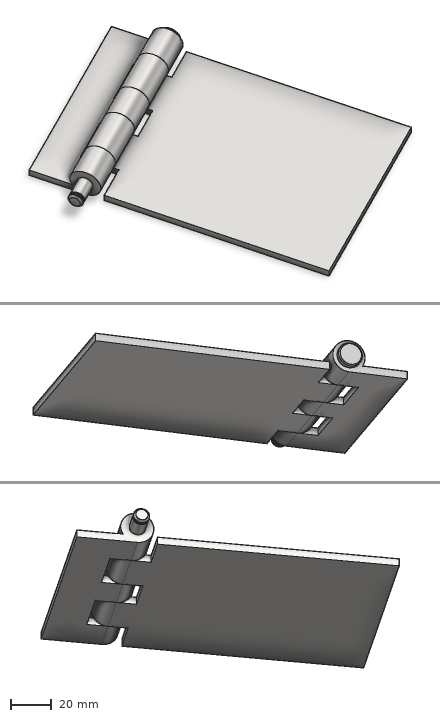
import cadquery as cq

hinge_length = 160.0
hinge_width = 100.0
leaf_thickness = 4.0

barrel_diameter = 16.5
barrel_radius = barrel_diameter / 2
axis_z = barrel_radius
wide_leaf_knuckle_length = 23.4
narrow_leaf_knuckle_length = (hinge_width - 2 * wide_leaf_knuckle_length) / 3
knuckle_pitch = narrow_leaf_knuckle_length + wide_leaf_knuckle_length
narrow_leaf_edge_x = 19.5
wide_leaf_edge_x = 40.0
barrel_clearance = 1.8
axis_x = wide_leaf_edge_x - barrel_clearance - barrel_radius

pin_diameter = 8.0
pin_radius = pin_diameter / 2
head_diameter = 12.2
head_height = 3.0
head_chamfer = 0.6
tip_length = 13.0
tip_chamfer = 1.04
groove_start = 10.0
groove_width = 1.1
groove_depth = 0.5

narrow_knuckle_starts = [i * knuckle_pitch for i in range(3)]
wide_knuckle_starts = [narrow_leaf_knuckle_length + i * knuckle_pitch for i in range(2)]


def cylinder_along_y(radius, y_start, length):
    """Cylinder on the pin axis, extending toward +Y."""
    return cq.Workplane("XY").add(
        cq.Solid.makeCylinder(
            radius, length, cq.Vector(axis_x, y_start, axis_z), cq.Vector(0, 1, 0)
        )
    )


def plate(x_start, x_end, y_start, width):
    """Flat strip of leaf material."""
    return cq.Workplane("XY").box(
        x_end - x_start, width, leaf_thickness, centered=False
    ).translate((x_start, y_start, 0))


def make_leaf(outer_x, inner_x, knuckle_starts, knuckle_length):
    """Plate whose knuckles are tangent to its underside and bored for the pin."""
    leaf = plate(min(outer_x, inner_x), max(outer_x, inner_x), 0, hinge_width)
    for y_start in knuckle_starts:
        tab = plate(min(inner_x, axis_x), max(inner_x, axis_x), y_start, knuckle_length)
        barrel = cylinder_along_y(barrel_radius, y_start, knuckle_length)
        leaf = leaf.union(tab).union(barrel)
    return leaf.cut(cylinder_along_y(pin_radius, 0, hinge_width))


def make_pin():
    """Headed pin with a retaining groove near its chamfered tip."""
    shaft = cylinder_along_y(pin_radius, -tip_length, tip_length + hinge_width)
    shaft = shaft.faces("<Y").chamfer(tip_chamfer)
    head = cylinder_along_y(head_diameter / 2, hinge_width, head_height)
    head = head.faces(">Y").chamfer(head_chamfer)
    groove_y = -groove_start - groove_width
    groove = cylinder_along_y(pin_radius, groove_y, groove_width).cut(
        cylinder_along_y(pin_radius - groove_depth, groove_y, groove_width)
    )
    return shaft.union(head).cut(groove)


narrow_leaf = make_leaf(
    0, narrow_leaf_edge_x, narrow_knuckle_starts, narrow_leaf_knuckle_length
)
wide_leaf = make_leaf(
    hinge_length, wide_leaf_edge_x, wide_knuckle_starts, wide_leaf_knuckle_length
)
pin = make_pin()

result = cq.Compound.makeCompound([narrow_leaf.val(), wide_leaf.val(), pin.val()])